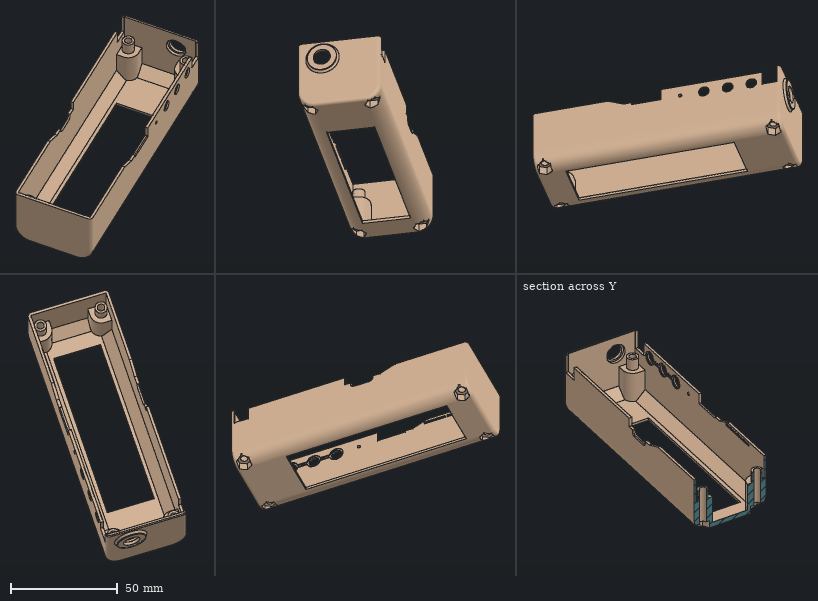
import cadquery as cq
import math

width = 40.0
total_length = 123.0
height = 34.8
boss_height = 1.6
body_length = total_length - boss_height
wall = 1.5
corner_radius = 8.0
end_radius = 2.0
floor_bevel = 5.0
small_bevel = 0.5
inner_x = width - wall
inner_y = body_length - wall
overlap = 1.2

front_rim_z = 30.5
grip_rim_z = 27.2
high_rim_z = 32.0
slot_z = 25.0
ramp_start_y = 37.1
ramp_end_y = 44.8
grip_end_y = 62.9
slot_start_y = 112.2
slot_end_y = body_length - end_radius

window_width = 23.0
window_length = 82.0
window_x = 19.8
window_y = 55.2

post_inset = 5.0
post_radius = 5.4
post_top_z = 17.5
tube_diameter = 5.8
tube_top_z = 23.5
screw_diameter = 3.5
nut_across_flats = 6.3
nut_depth = 4.0

port_x = 28.0
port_z = 25.2
boss_base_diameter = 16.0
boss_top_diameter = 14.0
boss_rim_height = 0.5
port_diameter = 8.0
port_seat_diameter = 10.0
port_seat_depth = wall

side_hole_z = 26.5
side_hole_pitch = 11.6
side_hole_count = 3
last_side_hole_y = 107.0
side_hole_diameter = 5.0
side_seat_diameter = 6.8
side_seat_depth = 0.5
wire_groove_height = 1.5
lamp_diameter = 1.5

notch_y = 54.1
notch_width = 10.5
notch_z = 24.6
notch_corner = 1.8

dip_start_y = 48.7
dip_z = 26.5

catch_grooves = ((18.6, 27.3), (28.3, 38.9))
catch_z = 28.5
catch_height = 0.7
catch_depth = 0.5


def box(x0, x1, y0, y1, z0, z1):
    """Box from its limits along the three axes."""
    block = cq.Workplane("XY").box(x1 - x0, y1 - y0, z1 - z0, centered=False)
    return block.translate((x0, y0, z0))


def rod_x(diameter, x0, x1, y, z):
    """Cylinder along X."""
    return cq.Workplane("YZ", origin=(x0, y, z)).circle(diameter / 2).extrude(x1 - x0)


def rod_y(diameter, x, y0, y1, z):
    """Cylinder along Y."""
    return cq.Workplane("XZ", origin=(x, y0, z)).circle(diameter / 2).extrude(y0 - y1)


def rod_z(diameter, x, y, z0, z1):
    """Cylinder along Z."""
    return cq.Workplane("XY", origin=(x, y, z0)).circle(diameter / 2).extrude(z1 - z0)


def outer_block():
    """Solid block with round lower edges, rounded end outlines and a bevelled back top edge."""
    block = box(0, width, 0, body_length, 0, height)
    block = block.edges("|Y and <Z").fillet(corner_radius)
    block = block.faces("<Y").edges("not >Z").fillet(end_radius)
    block = block.faces(">Y").edges("not >Z").fillet(end_radius)
    return block.faces(">Z").edges(">Y").chamfer(small_bevel)


def hollow():
    """Inside of the tray, bevelled all around the floor."""
    inside = box(wall, inner_x, wall, inner_y, wall, height + overlap)
    return inside.faces("<Z").edges().chamfer(floor_bevel)


def corner_post():
    """Post for the corner at the origin, filling the gap to both walls, with a tube on top."""
    side = post_inset + post_radius
    column = box(0, side, 0, side, 0, post_top_z)
    column = column.edges("|Z").edges(">X and >Y").fillet(post_radius)
    return column.union(rod_z(tube_diameter, post_inset, post_inset, 0, tube_top_z))


def screw_cut():
    """Screw hole of the post at the origin, with a hexagonal nut pocket from below."""
    across_corners = nut_across_flats / math.cos(math.radians(30))
    nut = cq.Workplane("XY").center(post_inset, post_inset).polygon(6, across_corners).extrude(nut_depth)
    return nut.union(rod_z(screw_diameter, post_inset, post_inset, 0, tube_top_z))


def at_four_corners(tool):
    """The tool for the corner at the origin together with its three mirror images."""
    pair = tool.union(tool.mirror("YZ").translate((width, 0, 0)))
    return pair.union(pair.mirror("XZ").translate((0, body_length, 0)))


def rim_cut():
    """Everything above the stepped side and front rims; the back wall stays full height."""
    above = height + overlap
    outline = [
        (-overlap, above),
        (-overlap, front_rim_z),
        (ramp_start_y, front_rim_z),
        (ramp_end_y, grip_rim_z),
        (grip_end_y, grip_rim_z),
        (grip_end_y, high_rim_z),
        (slot_start_y, high_rim_z),
        (slot_start_y, slot_z),
        (slot_end_y, slot_z),
        (slot_end_y, above),
    ]
    return cq.Workplane("YZ").polyline(outline).close().extrude(width)


def window_cut():
    """Rectangular opening in the floor."""
    opening = cq.Workplane("XY").center(window_x, window_y).rect(window_width, window_length)
    return opening.extrude(wall)


def port_boss():
    """Conical boss on the back wall, ending in a short straight rim."""
    cone_height = boss_height - boss_rim_height
    cone = (
        cq.Workplane("XZ", origin=(port_x, body_length, port_z))
        .circle(boss_base_diameter / 2)
        .workplane(offset=-cone_height)
        .circle(boss_top_diameter / 2)
        .loft()
    )
    return cone.union(rod_y(boss_top_diameter, port_x, body_length, total_length, port_z))


def port_cut():
    """Stepped hole through the back wall and boss, wider on the inside."""
    seat = rod_y(port_seat_diameter, port_x, inner_y, inner_y + port_seat_depth, port_z)
    return seat.union(rod_y(port_diameter, port_x, inner_y, total_length, port_z))


def side_hole_cuts():
    """Seated holes in the +X wall, the groove joining them and a small lamp hole in front."""
    seat_x = inner_x + side_seat_depth
    first_y = last_side_hole_y - (side_hole_count - 1) * side_hole_pitch
    low_z = side_hole_z - wire_groove_height / 2
    cuts = box(inner_x, seat_x, first_y, last_side_hole_y, low_z, low_z + wire_groove_height)
    for i in range(side_hole_count):
        y = first_y + i * side_hole_pitch
        cuts = cuts.union(rod_x(side_seat_diameter, inner_x, seat_x, y, side_hole_z))
        cuts = cuts.union(rod_x(side_hole_diameter, inner_x, width, y, side_hole_z))
    return cuts.union(rod_x(lamp_diameter, inner_x, width, first_y - side_hole_pitch, side_hole_z))


def notch_outline(grow):
    """Outline of the plug notch on the outer -X face, enlarged all around by grow."""
    half = notch_width / 2 + grow
    bottom = notch_z - grow
    shoulder = bottom + notch_corner
    return (
        cq.Workplane("YZ")
        .moveTo(notch_y - half, height)
        .lineTo(notch_y - half, shoulder)
        .radiusArc((notch_y - half + notch_corner, bottom), -notch_corner)
        .lineTo(notch_y + half - notch_corner, bottom)
        .radiusArc((notch_y + half, shoulder), -notch_corner)
        .lineTo(notch_y + half, height)
        .close()
    )


def notch_cut():
    """Round-cornered notch through the -X wall, bevelled on the outside."""
    bevel = notch_outline(small_bevel).extrude(small_bevel, taper=45)
    return notch_outline(0).extrude(wall).union(bevel)


def dip_cut():
    """Lowered stretch of the +X rim with a bevel along its outer edge."""
    outline = [
        (inner_x, height),
        (inner_x, dip_z),
        (width - small_bevel, dip_z),
        (width, dip_z - small_bevel),
        (width, height),
    ]
    dip = cq.Workplane("XZ", origin=(0, dip_start_y, 0)).polyline(outline).close()
    return dip.extrude(dip_start_y - grip_end_y)


def catch_cuts():
    """Shallow grooves inside the +X wall below its front rim."""
    low_z = catch_z - catch_height / 2
    cuts = cq.Workplane("XY")
    for start_y, end_y in catch_grooves:
        cuts = cuts.add(box(inner_x, inner_x + catch_depth, start_y, end_y, low_z, low_z + catch_height))
    return cuts.combine()


envelope = outer_block()
shell = envelope.cut(hollow())
shell = shell.union(at_four_corners(corner_post()).intersect(envelope))
shell = shell.union(port_boss())
for cut in (
    rim_cut(),
    window_cut(),
    at_four_corners(screw_cut()),
    port_cut(),
    side_hole_cuts(),
    notch_cut(),
    dip_cut(),
    catch_cuts(),
):
    shell = shell.cut(cut)

result = shell